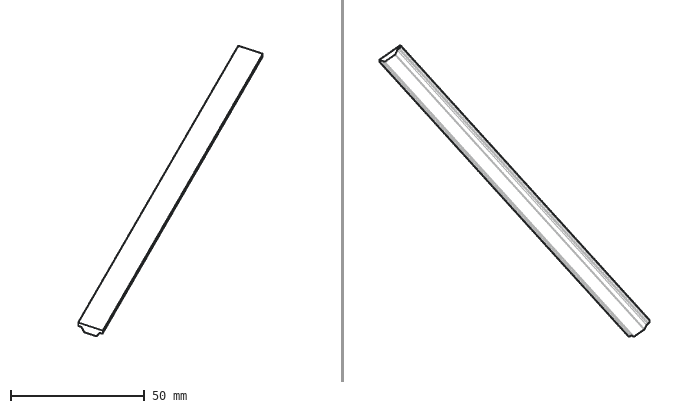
import cadquery as cq
import math

length = 150.0
width = 10.0
height = 4.5

flange_thickness = 2.0
rib_bottom_width = 5.1
rib_flank_angle = 25.0

flange_radius = 0.5
root_radius = 0.6
rib_radius = 0.3

half_width = width / 2
top = height / 2
bottom = -height / 2
flange_bottom = top - flange_thickness
rib_height = height - flange_thickness
rib_bottom_half = rib_bottom_width / 2
rib_root_half = rib_bottom_half + rib_height * math.tan(math.radians(rib_flank_angle))


def round_edges(body, x, z, radius):
    """Round the mirrored pair of lengthwise edges at (-x, z) and (x, z)."""
    for side in (-1, 1):
        edge = cq.selectors.NearestToPointSelector((side * x, 0, z))
        body = body.edges("|Y").edges(edge).fillet(radius)
    return body


profile = [
    (-half_width, top),
    (half_width, top),
    (half_width, flange_bottom),
    (rib_root_half, flange_bottom),
    (rib_bottom_half, bottom),
    (-rib_bottom_half, bottom),
    (-rib_root_half, flange_bottom),
    (-half_width, flange_bottom),
]
bar = cq.Workplane("XZ").polyline(profile).close().extrude(length / 2, both=True)

bar = round_edges(bar, half_width, flange_bottom, flange_radius)
bar = round_edges(bar, rib_root_half, flange_bottom, root_radius)
result = round_edges(bar, rib_bottom_half, bottom, rib_radius)